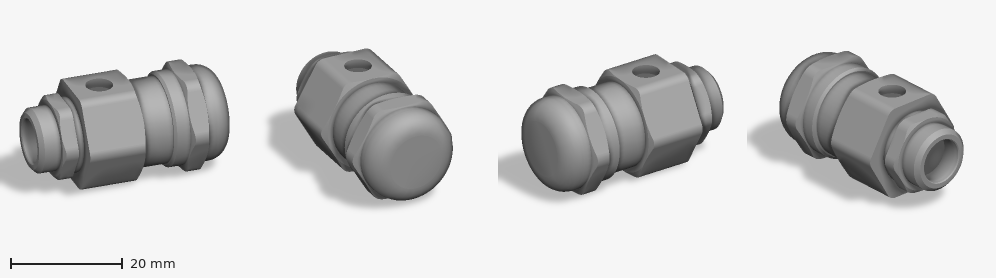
import cadquery as cq
import math

length = 36.15

thread_diameter = 12.0
thread_chamfer = 0.83
bore_diameter = 8.2
bore_depth = 3.9
bore_edge_chamfer = 0.18

lock_start = 3.9
lock_end = 6.7
lock_flats = 14.03
lock_corner_radius = 2.45
lock_chamfer_angle = 30.0

ring_center = 7.55
ring_section_radius = 0.98
ring_diameter = 13.9

body_start = 8.0
body_end = 19.02
body_flats = 18.0
body_corner_radius = 2.0
body_chamfer_angle = 25.0
recess_diameter = 5.0
recess_y = 13.38
recess_depth = 1.7

neck_diameter = 16.0
cap_start = 24.65
cap_diameter = 17.5
cap_chamfer = 0.47
nut_start = 27.6
nut_end = 31.28
nut_flats = 18.0
nut_corner_radius = 2.45
nut_chamfer_angle = 25.0
dome_radius = 3.5


def cylinder(diameter, start, end):
    """Round bar along Y between two stations."""
    bar = cq.Workplane("XZ", origin=(0, start, 0)).circle(diameter / 2)
    return bar.extrude(-(end - start))


def hexagon(flats, corner_radius, start, end):
    """Hexagonal prism along Y with rounded corners and flats at +/-Z."""
    corner_diameter = flats / math.cos(math.radians(30))
    prism = cq.Workplane("XZ", origin=(0, start, 0)).polygon(6, corner_diameter)
    return prism.extrude(-(end - start)).edges("|Y").fillet(corner_radius)


def chamfer_cone(face_diameter, angle, face_y, inward):
    """Solid of revolution that widens from an end face; inward is +1 or -1 along Y."""
    far_radius = face_diameter / 2 + length / math.tan(math.radians(angle))
    far_y = face_y + inward * length
    outline = [(0, face_y), (face_diameter / 2, face_y), (far_radius, far_y), (0, far_y)]
    return cq.Workplane("XY").polyline(outline).close().revolve(360, (0, 0), (0, 1))


def sealing_ring():
    """Ring whose rounded edge is the part of a circular section left exposed in the gap."""
    section_center = ring_diameter / 2 - ring_section_radius

    def edge_radius(y):
        return section_center + math.sqrt(ring_section_radius**2 - (y - ring_center) ** 2)

    profile = (
        cq.Workplane("XY")
        .moveTo(0, lock_end)
        .lineTo(edge_radius(lock_end), lock_end)
        .threePointArc((ring_diameter / 2, ring_center), (edge_radius(body_start), body_start))
        .lineTo(0, body_start)
        .close()
    )
    return profile.revolve(360, (0, 0), (0, 1))


spigot = cylinder(thread_diameter, 0, lock_start).faces("<Y").chamfer(thread_chamfer)

spigot = spigot.cut(cylinder(bore_diameter, 0, bore_depth))
mouth_edge = cq.selectors.RadiusNthSelector(0)
spigot = spigot.faces("<Y").edges(mouth_edge).chamfer(bore_edge_chamfer)

lock = hexagon(lock_flats, lock_corner_radius, lock_start, lock_end)
lock = lock.intersect(chamfer_cone(lock_flats, lock_chamfer_angle, lock_start, 1))

body = hexagon(body_flats, body_corner_radius, body_start, body_end)
body = body.intersect(chamfer_cone(body_flats, body_chamfer_angle, body_end, -1))

neck = cylinder(neck_diameter, body_end, cap_start)
cap = cylinder(cap_diameter, cap_start, length)
cap = cap.faces("<Y").chamfer(cap_chamfer).faces(">Y").edges().fillet(dome_radius)

nut = hexagon(nut_flats, nut_corner_radius, nut_start, nut_end)
nut = nut.intersect(chamfer_cone(cap_diameter, nut_chamfer_angle, nut_start, 1))
nut = nut.intersect(chamfer_cone(cap_diameter, nut_chamfer_angle, nut_end, -1))

result = spigot
for section in (lock, sealing_ring(), body, neck, cap, nut):
    result = result.union(section)

recess = cq.Workplane("XY", origin=(0, recess_y, body_flats / 2)).circle(recess_diameter / 2)
result = result.cut(recess.extrude(-recess_depth))